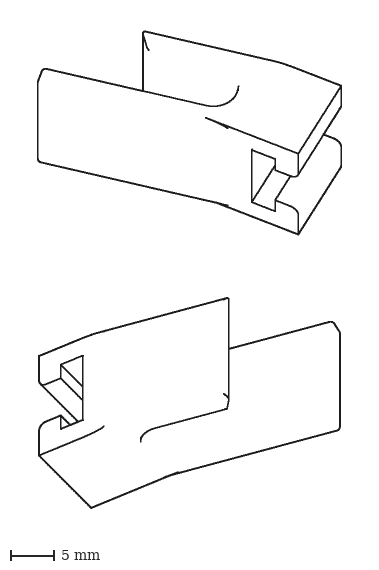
import cadquery as cq
import math

length = 33.85
width = 15.0
clip_height = 11.0
arm_thickness = 2.5
edge_radius = 0.5

tilt = 10.0
block_length = 9.0
tilt_rad = math.radians(tilt)
end_height = clip_height / math.cos(tilt_rad)
end_low_x = length - end_height * math.sin(tilt_rad)
end_high_y = end_height * math.cos(tilt_rad)
bend_low_x = end_low_x - block_length * math.cos(tilt_rad)
arm_bottom_y = block_length * math.sin(tilt_rad)
arm_top_y = arm_bottom_y + arm_thickness
bend_high_x = length - block_length * math.cos(tilt_rad)
clip_top_y = arm_bottom_y + clip_height

mouth_top_y = clip_top_y - arm_thickness
mouth_end_x = 22.48
mouth_radius = 2.8
jaw_tip_x = 9.35
jaw_tip_angle = 30.0
jaw_inner_x = jaw_tip_x + arm_thickness * math.tan(math.radians(jaw_tip_angle))

slot_depth = 6.0
lip_depth = 2.98
slot_width = 9.7
neck_width = 5.6
lip_radius = 1.0


def make_body():
    """Extrude the bent clip outline and round the inner corners of its mouth."""
    outline = [
        (0, arm_bottom_y),
        (bend_low_x, arm_bottom_y),
        (end_low_x, 0),
        (length, end_high_y),
        (bend_high_x, clip_top_y),
        (jaw_tip_x, clip_top_y),
        (jaw_inner_x, mouth_top_y),
        (mouth_end_x, mouth_top_y),
        (mouth_end_x, arm_top_y),
        (0, arm_top_y),
    ]
    body = cq.Workplane("XY").workplane(offset=-width / 2).polyline(outline).close().extrude(width)
    mouth_corners = edges_at(body, [(mouth_end_x, mouth_top_y, 0), (mouth_end_x, arm_top_y, 0)])
    return mouth_corners.fillet(mouth_radius)


def edges_at(body, points):
    """Select the edges whose midpoints lie nearest to the given points."""
    selected = [body.edges(cq.selectors.NearestToPointSelector(p)).val() for p in points]
    return body.newObject(selected)


def round_clip_edges(body):
    """Round the arm tip, jaw tip, mouth rim and straight outer edges."""
    points = [
        (0, arm_bottom_y, 0),
        (0, arm_top_y, 0),
        (jaw_tip_x, clip_top_y, 0),
        (jaw_inner_x, mouth_top_y, 0),
    ]
    mouth_start_x = mouth_end_x - mouth_radius
    corner_inset = mouth_radius * (1 - math.sqrt(0.5))
    for z in (-width / 2, width / 2):
        points += [
            (0, (arm_bottom_y + arm_top_y) / 2, z),
            (bend_low_x / 2, arm_bottom_y, z),
            (mouth_start_x / 2, arm_top_y, z),
            (mouth_end_x - corner_inset, arm_top_y + corner_inset, z),
            (mouth_end_x, (arm_top_y + mouth_top_y) / 2, z),
            (mouth_end_x - corner_inset, mouth_top_y - corner_inset, z),
            ((jaw_inner_x + mouth_start_x) / 2, mouth_top_y, z),
            ((jaw_tip_x + bend_high_x) / 2, clip_top_y, z),
        ]
    return edges_at(body, points).fillet(edge_radius)


def make_slot_cutter():
    """Build the T-slot, with rounded lips, through the full height of the block."""
    end_plane = cq.Plane(
        origin=(end_low_x, 0, 0),
        xDir=(math.cos(tilt_rad), -math.sin(tilt_rad), 0),
        normal=(math.sin(tilt_rad), math.cos(tilt_rad), 0),
    )
    half_slot = slot_width / 2
    half_neck = neck_width / 2
    return (
        cq.Workplane(end_plane)
        .moveTo(0, half_neck + lip_radius)
        .radiusArc((-lip_radius, half_neck), lip_radius)
        .lineTo(-lip_depth, half_neck)
        .lineTo(-lip_depth, half_slot)
        .lineTo(-slot_depth, half_slot)
        .lineTo(-slot_depth, -half_slot)
        .lineTo(-lip_depth, -half_slot)
        .lineTo(-lip_depth, -half_neck)
        .lineTo(-lip_radius, -half_neck)
        .radiusArc((0, -half_neck - lip_radius), lip_radius)
        .close()
        .extrude(end_height)
    )


result = round_clip_edges(make_body()).cut(make_slot_cutter())